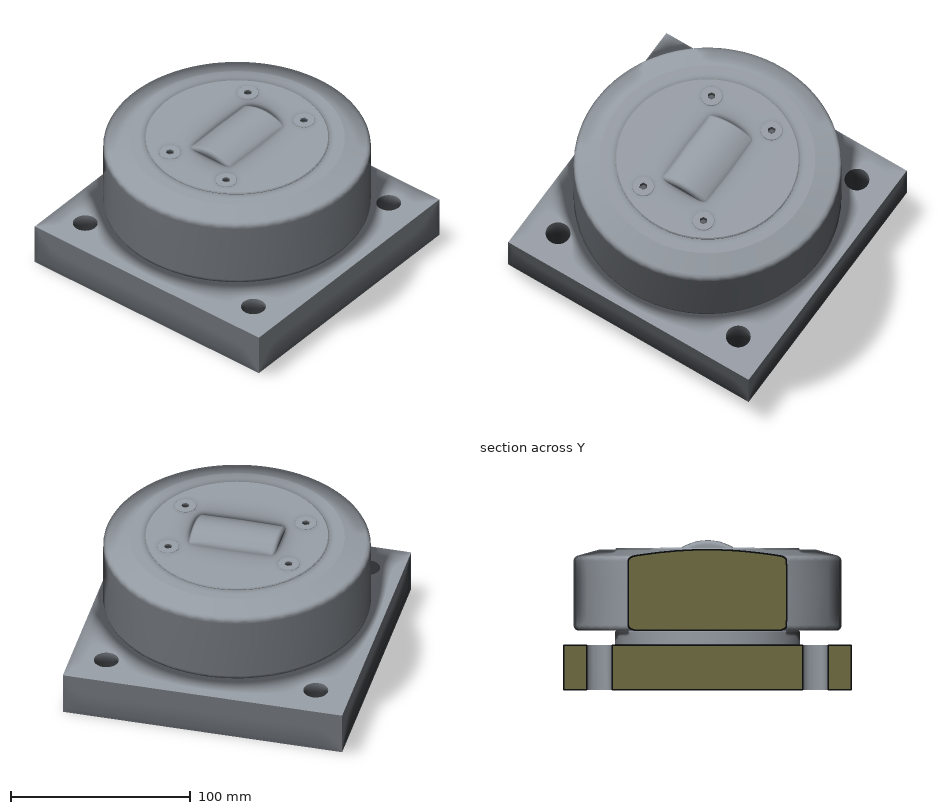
import cadquery as cq
import math

plate_side = 160.0
plate_thickness = 25.0
plate_hole_diameter = 13.84
plate_hole_spacing = 120.0

collar_diameter = 103.0
collar_chamfer = 0.5

ring_diameter = 149.2
ring_crown = 0.15
ring_bottom = 33.0
ring_shoulder_height = 74.2
ring_flat_diameter = 120.0
ring_top = 78.2
ring_rim_radius = 3.0

cover_diameter = 102.5
cover_edge_diameter = 101.4
cover_top = 79.0
cover_chamfer = (cover_diameter - cover_edge_diameter) / 2

screw_diameter = 12.3
screw_top_diameter = 11.7
screw_spacing_x = 40.0
screw_spacing_y = 69.0
screw_head_rise = 0.4
socket_across_flats = 4.0
socket_sides = 6
socket_depth = 2.5

overall_height = 83.5
roller_length = 50.0
roller_chord = 30.0
roller_crown = 0.3
roller_end_fillet = 2.3
roller_rise = overall_height - cover_top
roller_radius = ((roller_chord / 2) ** 2 + roller_rise**2) / (2 * roller_rise)


def make_plate():
    """Square plate with four through holes, resting on Z = 0."""
    return (
        cq.Workplane("XY")
        .rect(plate_side, plate_side)
        .extrude(plate_thickness)
        .faces(">Z")
        .workplane()
        .rect(plate_hole_spacing, plate_hole_spacing, forConstruction=True)
        .vertices()
        .hole(plate_hole_diameter)
    )


def make_collar():
    """Round collar filling the gap between plate and ring, bevelled at both ends."""
    return (
        cq.Workplane("XY")
        .workplane(offset=plate_thickness)
        .circle(collar_diameter / 2)
        .extrude(ring_bottom - plate_thickness)
        .edges()
        .chamfer(collar_chamfer)
    )


def make_ring():
    """Crowned outer ring with a conical top shoulder and rounded rims."""
    rim_reach = ring_diameter / 2 - ring_crown
    crown_height = (ring_bottom + ring_shoulder_height) / 2
    turned_body = (
        cq.Workplane("XZ")
        .moveTo(0, ring_bottom)
        .lineTo(rim_reach, ring_bottom)
        .threePointArc((ring_diameter / 2, crown_height), (rim_reach, ring_shoulder_height))
        .lineTo(ring_flat_diameter / 2, ring_top)
        .lineTo(0, ring_top)
        .close()
        .revolve(360, (0, 0, 0), (0, 1, 0))
    )
    rims = turned_body.edges(cq.selectors.RadiusNthSelector(-2))
    return rims.fillet(ring_rim_radius)


def make_cover():
    """Raised cover disc with a bevelled rim."""
    return (
        cq.Workplane("XY")
        .workplane(offset=ring_top)
        .circle(cover_diameter / 2)
        .extrude(cover_top - ring_top)
        .faces(">Z")
        .chamfer(cover_chamfer)
    )


def make_screws():
    """Four screw heads with hexagon sockets."""
    socket_corner_diameter = socket_across_flats / math.cos(math.pi / socket_sides)
    heads = (
        cq.Workplane("XY")
        .workplane(offset=ring_top)
        .rect(screw_spacing_x, screw_spacing_y, forConstruction=True)
        .vertices()
        .circle(screw_diameter / 2)
        .extrude(cover_top + screw_head_rise - ring_top)
        .faces(">Z")
        .chamfer((screw_diameter - screw_top_diameter) / 2)
    )
    sockets = (
        cq.Workplane("XY")
        .workplane(offset=cover_top + screw_head_rise)
        .rect(screw_spacing_x, screw_spacing_y, forConstruction=True)
        .vertices()
        .polygon(socket_sides, socket_corner_diameter)
        .extrude(-socket_depth)
    )
    return heads, sockets


def make_roller():
    """Crowned roller lying along Y, sunk so that only its top shows above the cover."""
    axis_height = overall_height - roller_radius
    end_radius = roller_radius - roller_crown
    half_length = roller_length / 2
    return (
        cq.Workplane("XY")
        .moveTo(0, -half_length)
        .lineTo(end_radius, -half_length)
        .threePointArc((roller_radius, 0), (end_radius, half_length))
        .lineTo(0, half_length)
        .close()
        .revolve(360, (0, 0, 0), (0, 1, 0))
        .faces("<Y or >Y")
        .edges()
        .fillet(roller_end_fillet)
        .translate((0, 0, axis_height))
    )


screw_heads, screw_sockets = make_screws()
result = (
    make_plate()
    .union(make_collar())
    .union(make_ring())
    .union(make_cover())
    .union(make_roller())
    .union(screw_heads)
    .cut(screw_sockets)
)